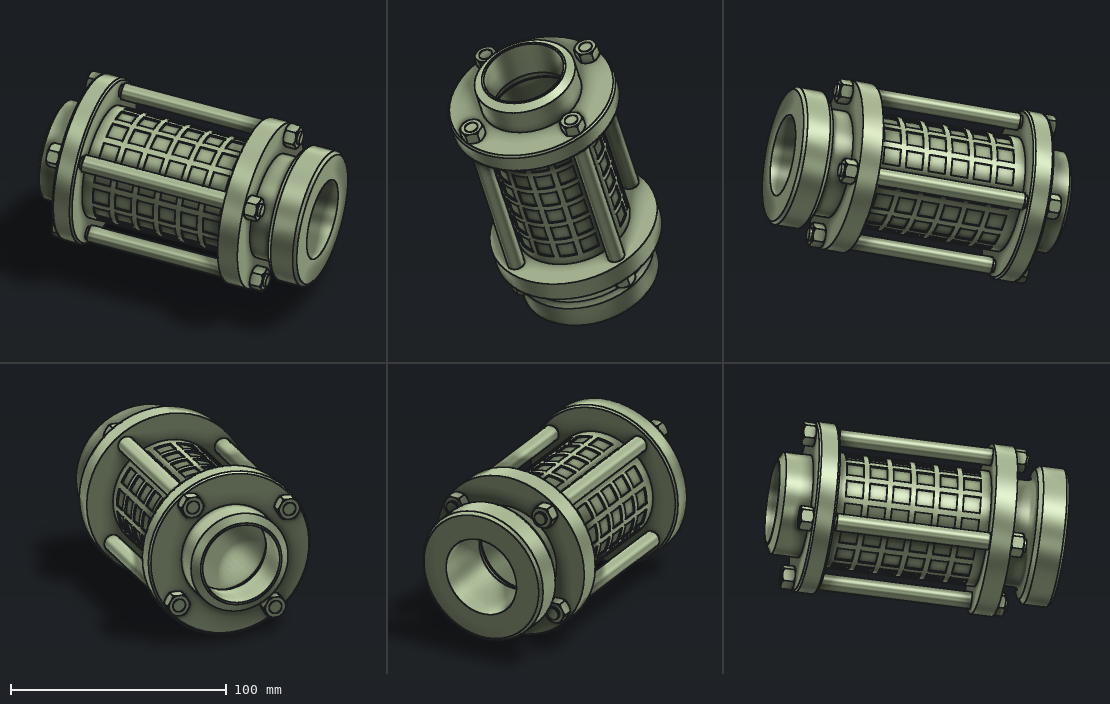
import cadquery as cq
import math


length = 134.4
bore_d = 38.0

flange_d = 80.0
flange_t = 10.0
weld_flange_x = 15.0
union_flange_x = 98.4
flange_chamfer = 1.0
weld_flange_end = weld_flange_x + flange_t
union_flange_end = union_flange_x + flange_t

collar_d = 48.0
bevel_tip_d = 40.0
bevel_length = 2.3

neck_d = 50.0
neck_fillet = 3.0
ferrule_d = 65.0
ferrule_x = 119.8
ferrule_back_chamfer = 2.2
ferrule_front_chamfer = 1.5

glass_d = 50.0
glass_bore_d = 42.0
glass_seat_depth = 1.3
seal_groove_d = 42.2
seal_groove_length = 0.7
bore_relief_length = 4.5
guard_d = 54.0
guard_bore_d = 52.4

first_window_x = 30.4
window_size = 8.0
window_pitch = 11.0
windows_along = 6
windows_mid_x = first_window_x + (window_size + (windows_along - 1) * window_pitch) / 2
windows_around = 15
window_start_angle = 8.4

rod_count = 4
rod_circle_d = 68.0
rod_start_angle = 53.2
rod_d = 8.0
rod_x = 26.3
stud_d = 6.0
stud_end_x = 115.6
nut_flats = 10.0
nut_t = 5.9
nut_hole_d = 6.2
nut_recess = 0.3
nut_chamfer = 0.7
nut_corners_d = nut_flats / math.cos(math.radians(30))
weld_nut_x = weld_flange_x - nut_t


def cylinder(diameter, x_start, x_end):
    """Solid cylinder on the X axis."""
    return cq.Workplane("YZ", origin=(x_start, 0, 0)).circle(diameter / 2).extrude(x_end - x_start)


def tube(outer_d, inner_d, x_start, x_end):
    """Round tube on the X axis."""
    return cylinder(outer_d, x_start, x_end).cut(cylinder(inner_d, x_start, x_end))


def cylinder_into_flanges(diameter, depth):
    """Cylinder from inside one flange to inside the other, reaching the same depth into both."""
    return cylinder(diameter, weld_flange_end - depth, union_flange_x + depth)


def make_glass_space():
    """Room for the glass: a seat in each flange, then a shallow groove and a relief of the bore."""
    groove_depth = glass_seat_depth + seal_groove_length
    seats = cylinder_into_flanges(glass_d, glass_seat_depth)
    grooves = cylinder_into_flanges(seal_groove_d, groove_depth)
    reliefs = cylinder_into_flanges(glass_bore_d, groove_depth + bore_relief_length)
    return seats.union(grooves).union(reliefs)


def make_weld_end():
    """Bevelled weld collar with its flange."""
    collar = (
        cq.Workplane("XY")
        .moveTo(0, 0)
        .lineTo(0, bevel_tip_d / 2)
        .lineTo(bevel_length, collar_d / 2)
        .lineTo(weld_flange_x, collar_d / 2)
        .lineTo(weld_flange_x, 0)
        .close()
        .revolve(360, (0, 0, 0), (1, 0, 0))
    )
    flange = cylinder(flange_d, weld_flange_x, weld_flange_end).edges().chamfer(flange_chamfer)
    return collar.union(flange).cut(cylinder(bore_d, 0, weld_flange_end))


def make_union_end():
    """Flange, neck and chamfered ferrule of the union side."""
    neck_r = neck_d / 2
    ferrule_r = ferrule_d / 2
    fillet_x = ferrule_x - neck_fillet
    fillet_mid = neck_fillet * math.sqrt(0.5)
    profile = (
        cq.Workplane("XY")
        .moveTo(union_flange_x, 0)
        .lineTo(union_flange_x, flange_d / 2)
        .lineTo(union_flange_end, flange_d / 2)
        .lineTo(union_flange_end, neck_r)
        .lineTo(fillet_x, neck_r)
        .threePointArc(
            (fillet_x + fillet_mid, neck_r + neck_fillet - fillet_mid),
            (ferrule_x, neck_r + neck_fillet),
        )
        .lineTo(ferrule_x, ferrule_r - ferrule_back_chamfer)
        .lineTo(ferrule_x + ferrule_back_chamfer, ferrule_r)
        .lineTo(length - ferrule_front_chamfer, ferrule_r)
        .lineTo(length, ferrule_r - ferrule_front_chamfer)
        .lineTo(length, 0)
        .close()
    )
    union_end = profile.revolve(360, (0, 0, 0), (1, 0, 0))
    return union_end.cut(cylinder(bore_d, union_flange_x, length))


def make_guard():
    """Tube between the flanges, pierced by rings of square windows."""
    guard = tube(guard_d, guard_bore_d, weld_flange_end, union_flange_x)
    window_row = (
        cq.Workplane("XY", origin=(windows_mid_x, 0, 0))
        .rarray(window_pitch, 1.3, windows_along, 1)
        .rect(window_size, window_size)
        .extrude(guard_d)
    )
    for i in range(windows_around):
        angle = window_start_angle + i * 360 / windows_around
        guard = guard.cut(window_row.rotate((0, 0, 0), (1, 0, 0), angle - 90))
    return guard


def make_nut(x_start):
    """Hexagonal nut on the X axis with its corners turned off at both ends."""
    hexagon = (
        cq.Workplane("YZ", origin=(x_start, 0, 0)).polygon(6, nut_corners_d).extrude(nut_t)
    )
    turned = cylinder(nut_corners_d, x_start, x_start + nut_t).edges().chamfer(nut_chamfer)
    return hexagon.intersect(turned)


def make_tie_rod():
    """Tie rod with stud ends and a nut at each end, on the X axis."""
    stud = cylinder(stud_d, weld_nut_x, stud_end_x)
    rod = cylinder(rod_d, rod_x, union_flange_x)
    nuts = make_nut(weld_nut_x).union(make_nut(union_flange_end))
    recess = cylinder(nut_hole_d, weld_nut_x, weld_nut_x + nut_recess)
    return stud.union(rod).union(nuts).cut(recess)


def make_housing():
    """Both ends, the guard and the tie rods as one solid."""
    housing = make_weld_end().union(make_guard()).union(make_union_end())
    housing = housing.cut(make_glass_space())
    tie_rod = make_tie_rod()
    for i in range(rod_count):
        angle = math.radians(rod_start_angle + i * 360 / rod_count)
        y = rod_circle_d / 2 * math.cos(angle)
        z = rod_circle_d / 2 * math.sin(angle)
        housing = housing.union(tie_rod.translate((0, y, z)))
    return housing


def make_glass():
    """Glass tube held in the seats of both flanges, clear of the guard around it."""
    glass = cylinder_into_flanges(glass_d, glass_seat_depth)
    return glass.cut(cylinder_into_flanges(glass_bore_d, glass_seat_depth))


housing = make_housing()
glass = make_glass()

result = cq.Compound.makeCompound([housing.val(), glass.val()])